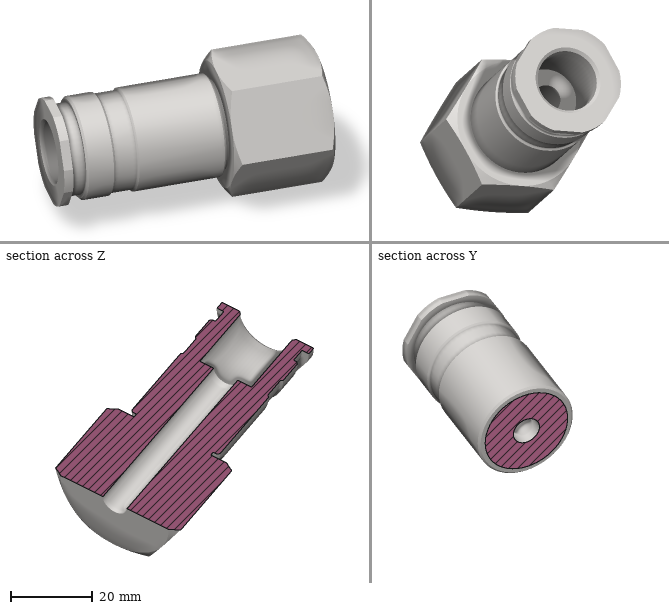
import cadquery as cq
import math

total_length = 69.0

hex_across_flats = 32.0
hex_front = 43.0
hex_chamfer_angle = 30.0

body_radius = 13.05
ring_start = 6.0
ring_end = 13.5
main_start = 19.0
main_end = 42.0
edge_chamfer = 0.55
groove_radius = 12.5
front_neck_radius = 11.6
rear_neck_radius = 11.4

flange_radius = 13.6
flange_across_flats = 26.15
flange_thickness = 2.35

bore_radius = 7.6
bore_depth = main_start
bore_chamfer = 0.75
passage_radius = 3.5


def cylinder(radius, start, end):
    """Round bar about the Y axis between two Y positions."""
    return cq.Workplane("XZ", origin=(0, start, 0)).circle(radius).extrude(start - end)


def hexagon(across_flats, start, end):
    """Hexagonal bar along Y with corners on the X axis."""
    across_corners = across_flats / math.cos(math.radians(30))
    return cq.Workplane("XZ", origin=(0, start, 0)).polygon(6, across_corners).extrude(start - end)


def revolve_about_y(profile):
    """Solid of revolution from a closed (radius, Y) outline."""
    return cq.Workplane("XY").polyline(profile).close().revolve(360, (0, 0, 0), (0, 1, 0))


def make_hex_head():
    """Hexagon whose corners are cut back by a cone at both ends."""
    flat_radius = hex_across_flats / 2
    corner_radius = flat_radius / math.cos(math.radians(30))
    radial_cut = corner_radius - flat_radius
    axial_cut = radial_cut * math.tan(math.radians(hex_chamfer_angle))
    envelope_profile = [
        (0, hex_front),
        (flat_radius, hex_front),
        (corner_radius, hex_front + axial_cut),
        (corner_radius, total_length - axial_cut),
        (flat_radius, total_length),
        (0, total_length),
    ]
    envelope = revolve_about_y(envelope_profile)
    return hexagon(hex_across_flats, hex_front, total_length).intersect(envelope)


def make_body():
    """Two chamfered collars joined by a groove, with a thinner neck at each end."""
    collars = [(ring_start, ring_end), (main_start, main_end)]
    body = cylinder(groove_radius, ring_end - edge_chamfer, main_start + edge_chamfer)
    for start, end in collars:
        body = body.union(cylinder(body_radius, start, end).edges("%CIRCLE").chamfer(edge_chamfer))
    body = body.union(cylinder(front_neck_radius, flange_thickness, ring_start))
    return body.union(cylinder(rear_neck_radius, main_end, hex_front))


def make_flange():
    """Thin disc trimmed by six flats parallel to those of the head."""
    disc = cylinder(flange_radius, 0, flange_thickness)
    return disc.intersect(hexagon(flange_across_flats, 0, flange_thickness))


def make_passage():
    """Through hole with a wider, chamfered bore at the front."""
    mouth_radius = bore_radius + bore_chamfer
    mouth_profile = [(0, 0), (mouth_radius, 0), (bore_radius, bore_chamfer), (0, bore_chamfer)]
    mouth = revolve_about_y(mouth_profile)
    bore = cylinder(bore_radius, 0, bore_depth)
    return cylinder(passage_radius, 0, total_length).union(bore).union(mouth)


part = make_hex_head().union(make_body()).union(make_flange()).cut(make_passage())

result = part.translate((0, -total_length / 2, 0))